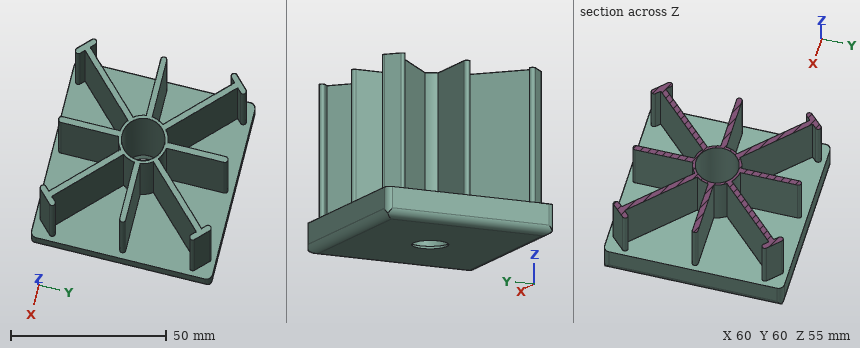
import cadquery as cq
import math

cap_width = 60.0
cap_height = 10.0
corner_radius = 2.0
bottom_radius = 3.0

total_height = 55.0
tube_diameter = 16.0
bore_top_diameter = 14.0
bore_bottom_diameter = 11.8
bore_cone_height = (bore_top_diameter - bore_bottom_diameter) / 2

rib_thickness = 2.0
rib_height = total_height - cap_height
straight_rib_reach = 28.1
corner_bar_distance = 35.8
corner_bar_length = 7.7


def rounded_bottom_bar(plane):
    """Bar along the plane's normal with its two lower edges rounded."""
    half_width = cap_width / 2
    flat_half_width = half_width - bottom_radius
    arc_offset = bottom_radius * (1 - math.sqrt(0.5))
    return (
        cq.Workplane(plane)
        .moveTo(-flat_half_width, 0)
        .lineTo(flat_half_width, 0)
        .threePointArc((half_width - arc_offset, arc_offset), (half_width, bottom_radius))
        .lineTo(half_width, cap_height)
        .lineTo(-half_width, cap_height)
        .lineTo(-half_width, bottom_radius)
        .threePointArc((-half_width + arc_offset, arc_offset), (-flat_half_width, 0))
        .close()
        .extrude(half_width, both=True)
    )


def make_cap():
    """Square cap whose rounded lower edges meet in mitres inside the rounded corners."""
    block = (
        cq.Workplane("XY")
        .rect(cap_width, cap_width)
        .extrude(cap_height)
        .edges("|Z")
        .fillet(corner_radius)
    )
    return block.intersect(rounded_bottom_bar("XZ")).intersect(rounded_bottom_bar("YZ"))


def make_straight_rib(angle):
    """Round-ended rib crossing the whole cap through its centre."""
    return (
        cq.Workplane("XY")
        .workplane(offset=cap_height)
        .slot2D(2 * straight_rib_reach, rib_thickness, angle)
        .extrude(rib_height)
    )


def make_corner_rib(angle):
    """Diagonal rib ending in a round-ended cross bar."""
    base = cq.Workplane("XY").workplane(offset=cap_height)
    web = (
        base.center(corner_bar_distance / 2, 0)
        .rect(corner_bar_distance, rib_thickness)
        .extrude(rib_height)
    )
    bar = (
        base.center(corner_bar_distance, 0)
        .slot2D(corner_bar_length, rib_thickness, 90)
        .extrude(rib_height)
    )
    return web.union(bar).rotate((0, 0, 0), (0, 0, 1), angle)


def make_bore():
    """Straight bore through the tube that narrows in a short cone at the bottom."""
    top_radius = bore_top_diameter / 2
    mouth_radius = bore_bottom_diameter / 2
    return (
        cq.Workplane("XZ")
        .polyline(
            [
                (0, 0),
                (mouth_radius, 0),
                (top_radius, bore_cone_height),
                (top_radius, total_height),
                (0, total_height),
            ]
        )
        .close()
        .revolve(360, (0, 0, 0), (0, 1, 0))
    )


tube = cq.Workplane("XY").circle(tube_diameter / 2).extrude(total_height)
result = make_cap().union(tube)
for rib_angle in (0, 90):
    result = result.union(make_straight_rib(rib_angle))
for corner_angle in (45, 135, 225, 315):
    result = result.union(make_corner_rib(corner_angle))
result = result.cut(make_bore())